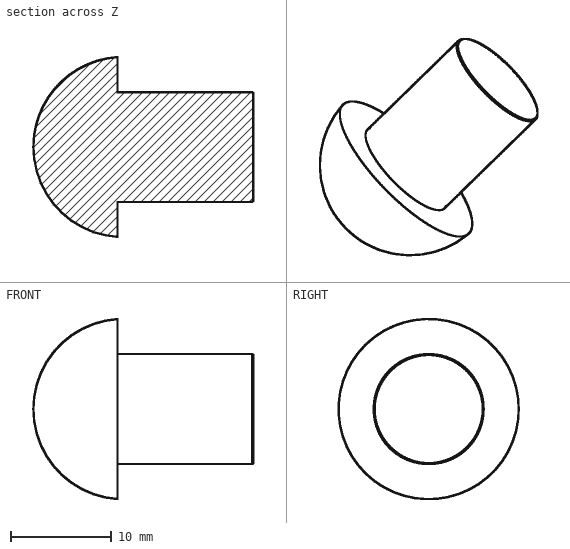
import cadquery as cq
import math

total_length = 21.95
head_diameter = 18.0
head_height = 8.42
shank_diameter = 11.0
tip_chamfer = 0.1

head_radius = head_diameter / 2
shank_radius = shank_diameter / 2
shank_length = total_length - head_height

dome_radius = (head_radius**2 + head_height**2) / (2 * head_height)

half_angle = math.acos((dome_radius - head_height) / dome_radius) / 2
arc_middle = (
    -head_height + dome_radius * (1 - math.cos(half_angle)),
    dome_radius * math.sin(half_angle),
)


def make_head():
    """Domed head along X, with its flat underside at X = 0."""
    profile = (
        cq.Workplane("XY")
        .moveTo(-head_height, 0)
        .threePointArc(arc_middle, (0, head_radius))
        .lineTo(0, 0)
        .close()
    )
    return profile.revolve(360, (0, 0, 0), (1, 0, 0))


def make_shank():
    """Plain cylinder along +X with a lightly chamfered tip."""
    shank = cq.Workplane("YZ").circle(shank_radius).extrude(shank_length)
    return shank.faces(">X").chamfer(tip_chamfer)


result = make_head().union(make_shank())